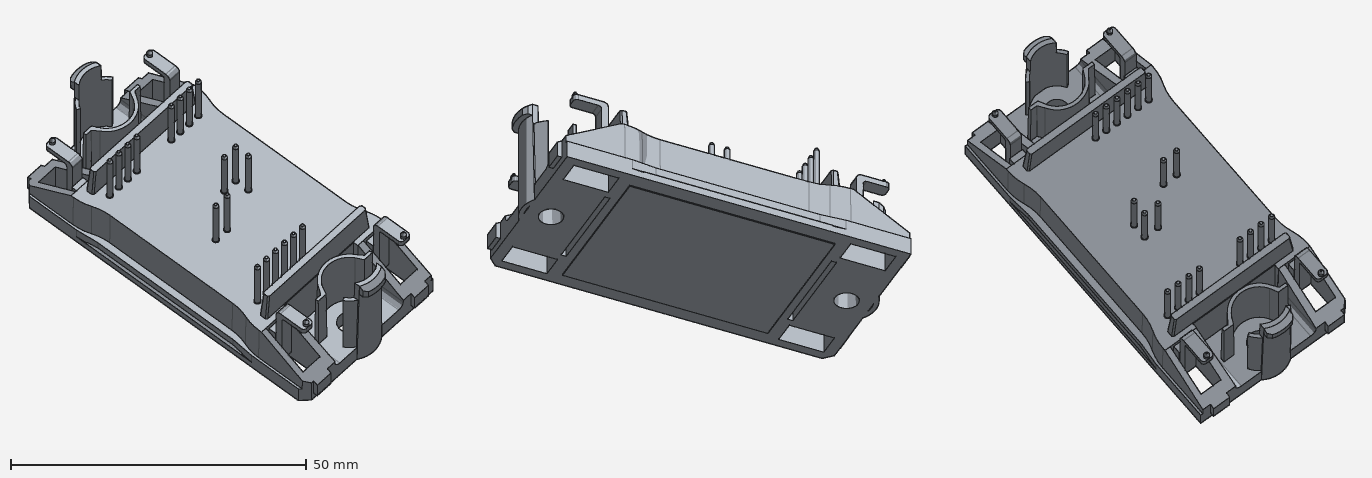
import cadquery as cq
import math

half_length = 32.1
width = 32.5
half_width = width / 2
heat_plate_length = 38.3
heat_plate_width = 27.1
underside_z = 0.24
ledge_z = 3.55
corner_cut = 1.6

housing_top = 11.15
housing_half_width = 15.8
waist_half_width = 14.5
waist_start_x = 21.1
waist_end_x = 13.9
side_draft = 1.0
ramp_top_x = 21.6
ramp_angle = 30.0

recess_bottom = 1.65
recess_depth = 0.4
recess_end_x = 19.9
recess_full_x = 15.3
recess_slope_x = 17.65

channel_half_width = 8.9
channel_floor_half_width = 8.6
channel_fillet = 1.15
slot_inner_x = 20.65
slot_half_width = 8.8

terminal_y = 12.4
pocket_outer_x = 30.0
pocket_width = 4.3
tab_reach = 0.8
tab_width = 3.5
tab_bottom = 1.65

wall_x = 19.7
wall_top = 16.75
wall_foot = (1.65, 26.25)
wall_crest = (1.3, 24.9)
wall_corner = 0.3

screw_x = 27.55
screw_hole_diameter = 4.3
guide_inner_radius = 4.65
guide_outer_radius = 5.55
arm_outer_radius = 5.35
guide_half_angle = 60.0
guide_draft = 0.5
inner_guide_top = 15.6
outer_guide_top = 16.75
tail_x = 26.3
tail_bend_y = 5.2
tail_end_y = 7.0
tail_thickness = 0.8
latch_width = 5.6
latch_foot_width = 6.3
latch_top = 20.85
latch_lip_bottom = 18.55
latch_lip_corner = 20.0
latch_lip_radius = 34.2 - screw_x
latch_lip_chamfer = 1.0

leg_inner_x = 23.1
leg_outer_x = 24.4
strip_width = 2.45
arm_end_x = 29.4
arm_bottom = 15.4
arm_top = 16.5
bend_radius = 0.95
bend_inner_radius = 0.6
arm_corner = 0.7
nub_x = 28.8
nub_diameter = 1.0
nub_shoulder = 17.1
nub_tip_diameter = 0.3
nub_top = 17.8
anchor_width = 2.8
anchor_top = 10.25

pin_diameter = 1.0
pin_collar_diameter = 1.2
pin_collar_height = 0.15
pin_shoulder = 20.7
pin_tip_diameter = 0.55
pin_top = 21.3
pin_row_x = 16.75
pin_pitch = 2.29
pin_row_end_y = 11.25
center_pin_pitch = 2.9
center_pins = [(-1, 5.2), (0, 5.2), (-1, 2.3), (1, -3.4), (1, -6.3)]


def box(x0, x1, y0, y1, z0, z1):
    """Box between two opposite corners."""
    return cq.Workplane("XY").box(x1 - x0, y1 - y0, z1 - z0, centered=False).translate((x0, y0, z0))


def polar(radius, angle):
    """Point at a radius and angle (degrees) around the right-hand screw axis."""
    a = math.radians(angle)
    return (screw_x + radius * math.cos(a), radius * math.sin(a))


def both_sides(shape):
    """The shape together with its mirror image across the XZ plane."""
    return shape.union(shape.mirror("XZ"))


def make_base():
    slab = box(-half_length, half_length, -half_width, half_width, underside_z, ledge_z)
    recess = (
        cq.Workplane("XY").workplane(offset=recess_bottom)
        .moveTo(-recess_end_x, half_width)
        .lineTo(-recess_full_x, half_width - recess_depth)
        .lineTo(recess_full_x, half_width - recess_depth)
        .lineTo(recess_end_x, half_width)
        .close()
        .extrude(ledge_z - recess_bottom)
    )
    sloped_floor = (
        cq.Workplane("YZ").workplane(offset=-recess_slope_x)
        .moveTo(half_width, recess_bottom)
        .lineTo(half_width - recess_depth, recess_bottom)
        .lineTo(half_width - recess_depth, recess_bottom + recess_depth)
        .close()
        .extrude(2 * recess_slope_x)
    )
    slab = slab.cut(both_sides(recess.cut(sloped_floor)))
    heat_plate = (
        cq.Workplane("XY").rect(heat_plate_length, heat_plate_width).extrude(ledge_z)
    )
    return slab.union(heat_plate)


def ramp_z(x):
    """Height of the sloping end surface at a distance from the centre plane."""
    return housing_top - (x - ramp_top_x) * math.tan(math.radians(ramp_angle))


def make_housing():
    overlap = 6.85
    far_x = half_length + overlap
    bend_x = (waist_start_x + waist_end_x) / 2
    bend_y = (housing_half_width + waist_half_width) / 2
    side = (
        cq.Workplane("XY").workplane(offset=ledge_z)
        .moveTo(-far_x, -overlap)
        .lineTo(-far_x, housing_half_width)
        .lineTo(-waist_start_x, housing_half_width)
        .tangentArcPoint((-bend_x, bend_y), relative=False)
        .tangentArcPoint((-waist_end_x, waist_half_width), relative=False)
        .lineTo(waist_end_x, waist_half_width)
        .tangentArcPoint((bend_x, bend_y), relative=False)
        .tangentArcPoint((waist_start_x, housing_half_width), relative=False)
        .lineTo(far_x, housing_half_width)
        .lineTo(far_x, -overlap)
        .close()
        .extrude(housing_top - ledge_z, taper=side_draft)
    )
    ramp_foot_z = ramp_z(half_length)
    profile = (
        cq.Workplane("XZ")
        .polyline([
            (-half_length, ledge_z), (-half_length, ramp_foot_z), (-ramp_top_x, housing_top),
            (ramp_top_x, housing_top), (half_length, ramp_foot_z), (half_length, ledge_z),
        ])
        .close()
        .extrude(half_width, both=True)
    )
    return both_sides(side).intersect(profile)


def make_end_cuts():
    """Screw channel, slot, terminal pockets, screw hole and corner cut at the +X end."""
    channel = (
        cq.Workplane("YZ").workplane(offset=ramp_top_x)
        .polyline([
            (-channel_floor_half_width, ledge_z), (-channel_half_width, housing_top),
            (channel_half_width, housing_top), (channel_floor_half_width, ledge_z),
        ])
        .close()
        .extrude(half_length - ramp_top_x)
        .edges("|X and <Z").fillet(channel_fillet)
    )
    slot = box(slot_inner_x, ramp_top_x, -slot_half_width, slot_half_width, 0, housing_top)
    pocket = box(ramp_top_x, pocket_outer_x, terminal_y - pocket_width / 2,
                 terminal_y + pocket_width / 2, 0, housing_top)
    hole = cq.Workplane("XY").center(screw_x, 0).circle(screw_hole_diameter / 2).extrude(ledge_z)
    corner = (
        cq.Workplane("XY")
        .moveTo(half_length, -half_width)
        .lineTo(half_length - corner_cut, -half_width)
        .lineTo(half_length, -half_width + corner_cut)
        .close()
        .extrude(housing_top)
    )
    return channel.union(slot).union(both_sides(pocket)).union(hole).union(corner)


def make_wall():
    wall = (
        cq.Workplane("XY").workplane(offset=housing_top)
        .rect(*wall_foot)
        .workplane(offset=wall_top - housing_top)
        .rect(*wall_crest)
        .loft(combine=True)
    )
    return wall.edges("not #Z").chamfer(wall_corner).translate((wall_x, 0, 0))


def make_tab():
    tip_x = half_length + tab_reach
    return (
        cq.Workplane("XZ").workplane(offset=-terminal_y)
        .polyline([
            (pocket_outer_x, tab_bottom), (pocket_outer_x, ramp_z(pocket_outer_x)),
            (tip_x, ramp_z(tip_x)), (tip_x, tab_bottom),
        ])
        .close()
        .extrude(tab_width / 2, both=True)
    )


def make_inner_guide():
    upper_end = 180 - guide_half_angle
    lower_end = 180 + guide_half_angle
    near_x = tail_x - tail_thickness / 2
    far_x = tail_x + tail_thickness / 2
    outer_bend_y = tail_bend_y + tail_thickness / 2
    inner_bend_y = tail_bend_y - tail_thickness / 2
    return (
        cq.Workplane("XY").workplane(offset=ledge_z)
        .moveTo(*polar(guide_inner_radius, upper_end))
        .threePointArc(polar(guide_inner_radius, 180), polar(guide_inner_radius, lower_end))
        .lineTo(far_x, -inner_bend_y)
        .lineTo(far_x, -tail_end_y)
        .lineTo(near_x, -tail_end_y)
        .lineTo(near_x, -outer_bend_y)
        .lineTo(*polar(guide_outer_radius, lower_end))
        .threePointArc(polar(guide_outer_radius, 180), polar(guide_outer_radius, upper_end))
        .lineTo(near_x, outer_bend_y)
        .lineTo(near_x, tail_end_y)
        .lineTo(far_x, tail_end_y)
        .lineTo(far_x, inner_bend_y)
        .close()
        .extrude(inner_guide_top - ledge_z, taper=guide_draft)
    )


def outer_arc(outer_radius, bottom, top):
    """Upright curved wall around the screw, on the side facing the end of the part."""
    start = -guide_half_angle
    end = guide_half_angle
    return (
        cq.Workplane("XY").workplane(offset=bottom)
        .moveTo(*polar(guide_inner_radius, start))
        .threePointArc(polar(guide_inner_radius, 0), polar(guide_inner_radius, end))
        .lineTo(*polar(outer_radius, end))
        .threePointArc(polar(outer_radius, 0), polar(outer_radius, start))
        .close()
        .extrude(top - bottom)
    )


def make_outer_guide():
    latch_zone = (
        cq.Workplane("YZ").workplane(offset=screw_x)
        .polyline([
            (-latch_foot_width / 2, underside_z), (-latch_width / 2, latch_top),
            (latch_width / 2, latch_top), (latch_foot_width / 2, underside_z),
        ])
        .close()
        .extrude(2 * latch_lip_radius)
    )
    latch = outer_arc(guide_outer_radius, underside_z, latch_top).intersect(latch_zone)
    guide = outer_arc(arm_outer_radius, ledge_z, outer_guide_top).union(latch)

    lip_zone = box(screw_x, screw_x + latch_lip_radius, -latch_width / 2, latch_width / 2, 0, latch_top)
    lip_zone = lip_zone.edges("|Z and >X").chamfer(latch_lip_chamfer)
    lip_root = (guide_inner_radius + guide_outer_radius) / 2
    lip = (
        cq.Workplane("XZ")
        .polyline([
            (-lip_root, latch_top), (-guide_outer_radius, latch_top),
            (-latch_lip_radius, latch_lip_corner), (-latch_lip_radius, latch_lip_bottom),
            (-lip_root, latch_lip_bottom),
        ])
        .close()
        .revolve(360, (0, 0, 0), (0, 1, 0))
        .translate((screw_x, 0, 0))
        .intersect(lip_zone)
    )
    return guide.union(lip)


def make_terminal():
    strip = (
        cq.Workplane("XZ")
        .polyline([
            (leg_inner_x, ledge_z), (leg_inner_x, arm_top), (arm_end_x, arm_top),
            (arm_end_x, arm_bottom), (leg_outer_x, arm_bottom), (leg_outer_x, ledge_z),
        ])
        .close()
        .extrude(strip_width / 2, both=True)
    )
    strip = strip.edges("|Y and >Z and <X").fillet(bend_radius)
    inner_bend = cq.selectors.NearestToPointSelector((leg_outer_x, 0, arm_bottom))
    strip = strip.edges("|Y").edges(inner_bend).fillet(bend_inner_radius)
    strip = strip.edges("|Z and >X").fillet(arm_corner)
    nub = (
        cq.Workplane("XZ")
        .polyline([
            (0, arm_bottom), (nub_diameter / 2, arm_bottom), (nub_diameter / 2, nub_shoulder),
            (nub_tip_diameter / 2, nub_top), (0, nub_top),
        ])
        .close()
        .revolve(360, (0, 0, 0), (0, 1, 0))
        .translate((nub_x, 0, 0))
    )
    anchor = box(slot_inner_x, leg_inner_x, -anchor_width / 2, anchor_width / 2, ledge_z, anchor_top)
    return strip.union(nub).union(anchor).translate((0, terminal_y, 0))


def make_pin(x, y):
    return (
        cq.Workplane("XZ")
        .polyline([
            (0, ledge_z), (pin_collar_diameter / 2, ledge_z),
            (pin_collar_diameter / 2, housing_top + pin_collar_height),
            (pin_diameter / 2, housing_top + pin_collar_height),
            (pin_diameter / 2, pin_shoulder), (pin_tip_diameter / 2, pin_top), (0, pin_top),
        ])
        .close()
        .revolve(360, (0, 0, 0), (0, 1, 0))
        .translate((x, y, 0))
    )


def pin_places():
    row = [pin_row_end_y - i * pin_pitch for i in range(4)]
    left_row = [(-pin_row_x, side * y) for side in (1, -1) for y in row]
    right_row = [(pin_row_x, -pin_row_end_y + i * pin_pitch) for i in range(6)]
    center = [(column * center_pin_pitch, y) for column, y in center_pins]
    return left_row + right_row + center


result = make_base().union(make_housing())
end_cuts = make_end_cuts()
result = result.cut(end_cuts).cut(end_cuts.mirror("YZ"))

end_parts = [
    make_wall(), both_sides(make_tab()), make_inner_guide(), make_outer_guide(),
    both_sides(make_terminal()),
]
for end_part in end_parts:
    result = result.union(end_part).union(end_part.mirror("YZ"))

for x, y in pin_places():
    result = result.union(make_pin(x, y))